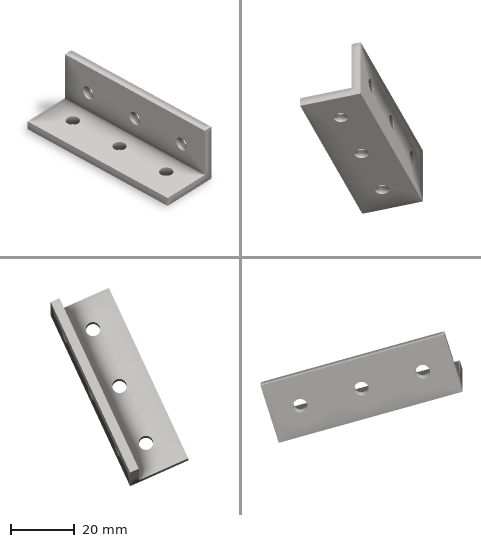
import cadquery as cq

length = 60.0
leg_width = 20.0
thickness = 3.0

hole_diameter = 4.5
hole_count = 3
hole_pitch = length / hole_count


def angle_body():
    """L-section bar along X: base leg at the bottom, upright leg on the +Y side."""
    outline = [
        (0, 0),
        (leg_width, 0),
        (leg_width, leg_width),
        (leg_width - thickness, leg_width),
        (leg_width - thickness, thickness),
        (0, thickness),
    ]
    return cq.Workplane("YZ").polyline(outline).close().extrude(length / 2, both=True)


def hole_row(plane, depth):
    """Row of hole cutters along X, running from the middle of the leg square by a signed depth."""
    middle = (0, leg_width / 2, leg_width / 2)
    return (
        cq.Workplane(plane, origin=middle)
        .rarray(hole_pitch, 1, hole_count, 1)
        .circle(hole_diameter / 2)
        .extrude(depth)
    )


base_holes = hole_row("XY", -leg_width)
upright_holes = hole_row("XZ", -leg_width)

result = angle_body().cut(base_holes).cut(upright_holes)